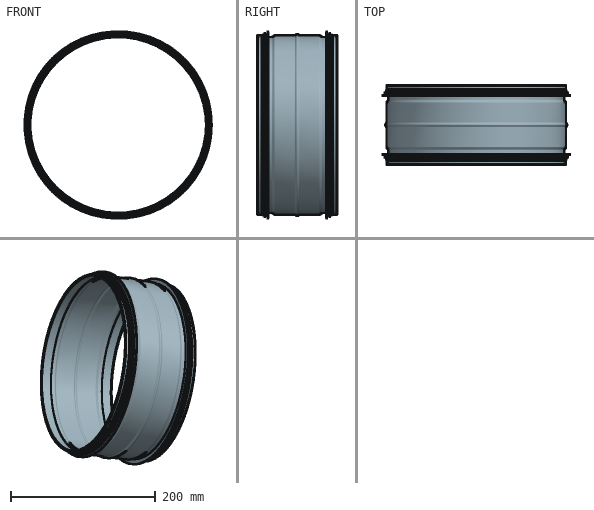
import cadquery as cq
import math


length = 111.0
wall = 0.5
barrel_radius = 249 / 2
neck_radius = 244.0 / 2
bead_radius = 252.3 / 2
bend_radius = 1.5
flank_slope = math.radians(37)
step_start = 31.0
hem_tip = 49.5

step_end = step_start + (barrel_radius - neck_radius) / math.tan(flank_slope)

crest_bend_radius = bend_radius + wall / 2
apex_radius = bead_radius + crest_bend_radius * (1 / math.cos(flank_slope) - 1)
bead_base_half = (apex_radius - barrel_radius) / math.tan(flank_slope)

neck_bore_radius = neck_radius - wall
hem_bore_radius = barrel_radius - wall
fold_radius = (barrel_radius - neck_bore_radius) / 2
fold_mid_radius = (barrel_radius + neck_bore_radius) / 2
fold_start = length / 2 - fold_radius

gasket_bore_radius = 245.3 / 2
foot_radius = hem_bore_radius
main_lip_radius = 259.3 / 2
main_lip_start = 40.0
main_lip_root_end = 41.7
main_lip_tip_start = 40.2
main_lip_tip_end = 41.2
second_lip_radius = 254.5 / 2
second_lip_start = 44.3
second_lip_tip_end = 45.0
second_lip_root_end = 45.6
ridge_radius = 250.5 / 2
ridge_peak = 47.2
ridge_end = 48.0


def mirrored(points):
    """The points mirrored to the opposite side of the middle plane, in reverse order."""
    return [(radius, -axial) for radius, axial in reversed(points)]


def offset_inward(points, distance):
    """Interior corners of an open path moved inward so that the wall stays even."""
    moved = []
    for before, corner, after in zip(points, points[1:], points[2:]):
        slope_in = math.atan2(corner[0] - before[0], corner[1] - before[1])
        slope_out = math.atan2(after[0] - corner[0], after[1] - corner[1])
        mid_slope = (slope_in + slope_out) / 2
        reach = distance / math.cos((slope_out - slope_in) / 2)
        moved.append((corner[0] - reach * math.cos(mid_slope), corner[1] + reach * math.sin(mid_slope)))
    return moved


def draw_bends(path, points, outward_growth):
    """Continue a path through the interior corners of `points`, rounding each one.

    `outward_growth` is added to the radius of bends that bulge outward and
    taken from the radius of bends that bulge inward.
    """
    for before, corner, after in zip(points, points[1:], points[2:]):
        toward = cq.Vector(*before) - cq.Vector(*corner)
        onward = cq.Vector(*after) - cq.Vector(*corner)
        toward = toward.normalized()
        onward = onward.normalized()
        bisector = (toward + onward).normalized()
        half_angle = toward.getAngle(onward) / 2
        bulges_outward = bisector.x < 0
        radius = bend_radius + (outward_growth if bulges_outward else -outward_growth)
        run = radius / math.tan(half_angle)
        middle = bisector * (radius / math.sin(half_angle) - radius)
        arc = [cq.Vector(*corner) + shift for shift in (toward * run, middle, onward * run)]
        path = path.lineTo(arc[0].x, arc[0].y).threePointArc(arc[1].toTuple()[:2], arc[2].toTuple()[:2])
    return path


def make_sleeve():
    """One sheet with a middle bead, two stepped necks and outward-folded hems."""
    half = [
        (barrel_radius, bead_base_half),
        (barrel_radius, step_start),
        (neck_radius, step_end),
        (neck_radius, fold_start),
    ]
    outer = mirrored(half) + [(apex_radius, 0)] + half
    bore_start = (neck_bore_radius, -fold_start)
    bore_end = (neck_bore_radius, fold_start)
    bore = [bore_start] + offset_inward(outer, wall) + [bore_end]

    fold_crown = length / 2
    profile = cq.Workplane("XY").moveTo(*outer[0])
    profile = draw_bends(profile, outer, wall / 2).lineTo(*outer[-1])
    profile = (
        profile
        .threePointArc((fold_mid_radius, fold_crown - wall), (hem_bore_radius, fold_start))
        .lineTo(hem_bore_radius, hem_tip)
        .lineTo(barrel_radius, hem_tip)
        .lineTo(barrel_radius, fold_start)
        .threePointArc((fold_mid_radius, fold_crown), bore_end)
    )
    profile = draw_bends(profile, bore[::-1], -wall / 2).lineTo(*bore_start)
    profile = (
        profile
        .threePointArc((fold_mid_radius, -fold_crown), (barrel_radius, -fold_start))
        .lineTo(barrel_radius, -hem_tip)
        .lineTo(hem_bore_radius, -hem_tip)
        .lineTo(hem_bore_radius, -fold_start)
        .threePointArc((fold_mid_radius, wall - fold_crown), outer[0])
        .close()
    )
    return profile.revolve(360, (0, 0, 0), (0, 1, 0))


def make_gasket(side):
    """Lipped sealing ring around the neck, its foot held under the hem; side is +1 or -1 along Y."""
    outline = [
        (gasket_bore_radius, main_lip_start),
        (main_lip_radius, main_lip_tip_start),
        (main_lip_radius, main_lip_tip_end),
        (foot_radius, main_lip_root_end),
        (foot_radius, second_lip_start),
        (second_lip_radius, second_lip_start),
        (second_lip_radius, second_lip_tip_end),
        (foot_radius, second_lip_root_end),
        (ridge_radius, ridge_peak),
        (foot_radius, ridge_end),
        (foot_radius, fold_start),
        (gasket_bore_radius, fold_start),
    ]
    profile = cq.Workplane("XY").polyline([(radius, side * axial) for radius, axial in outline])
    return profile.close().revolve(360, (0, 0, 0), (0, 1, 0))


sleeve = make_sleeve()
gaskets = [make_gasket(side).val() for side in (-1, 1)]

result = cq.Compound.makeCompound([sleeve.val(), *gaskets])